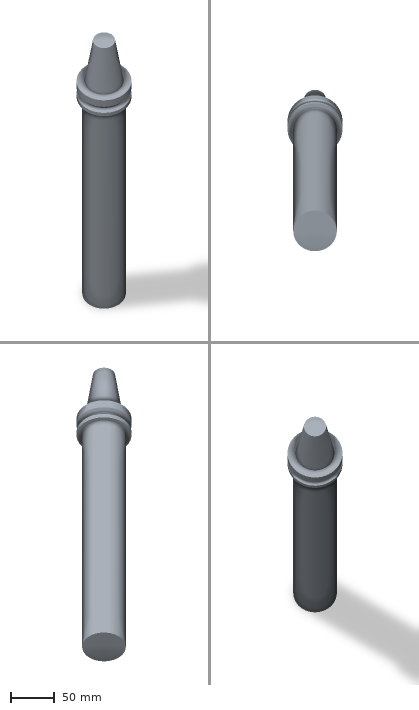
import cadquery as cq
import math


gauge_diameter = 44.45
taper_length = 65.4
taper_ratio = 7 / 24

flange_diameter = 63.0
flange_top_depth = 1.0
flange_bottom_depth = 27.0

groove_root_diameter = 53.0
groove_center_depth = 16.6
groove_rim_width = 10.0
groove_included_angle = 60.0

shank_diameter = 50.0
shank_end_depth = 350.0
root_chamfer = 1.0


def make_blank():
    """Revolve the taper, its short collar, the plain flange and the shank with its root chamfer."""
    gauge_radius = gauge_diameter / 2
    tip_radius = (gauge_diameter - taper_length * taper_ratio) / 2
    flange_radius = flange_diameter / 2
    shank_radius = shank_diameter / 2
    profile = (
        cq.Workplane("XZ")
        .moveTo(0, taper_length)
        .lineTo(tip_radius, taper_length)
        .lineTo(gauge_radius, 0)
        .lineTo(gauge_radius, -flange_top_depth)
        .lineTo(flange_radius, -flange_top_depth)
        .lineTo(flange_radius, -flange_bottom_depth)
        .lineTo(shank_radius + root_chamfer, -flange_bottom_depth)
        .lineTo(shank_radius, -flange_bottom_depth - root_chamfer)
        .lineTo(shank_radius, -shank_end_depth)
        .lineTo(0, -shank_end_depth)
        .close()
    )
    return profile.revolve(360, (0, 0, 0), (0, 1, 0))


def make_gripper_groove():
    """Revolve the flat-bottomed V section that is cut around the flange rim."""
    root_radius = groove_root_diameter / 2
    rim_radius = flange_diameter / 2
    flank_width = (rim_radius - root_radius) * math.tan(math.radians(groove_included_angle / 2))
    rim_half_width = groove_rim_width / 2
    root_half_width = rim_half_width - flank_width
    profile = (
        cq.Workplane("XZ")
        .moveTo(root_radius, -groove_center_depth + root_half_width)
        .lineTo(rim_radius, -groove_center_depth + rim_half_width)
        .lineTo(rim_radius, -groove_center_depth - rim_half_width)
        .lineTo(root_radius, -groove_center_depth - root_half_width)
        .close()
    )
    return profile.revolve(360, (0, 0, 0), (0, 1, 0))


result = make_blank().cut(make_gripper_groove())